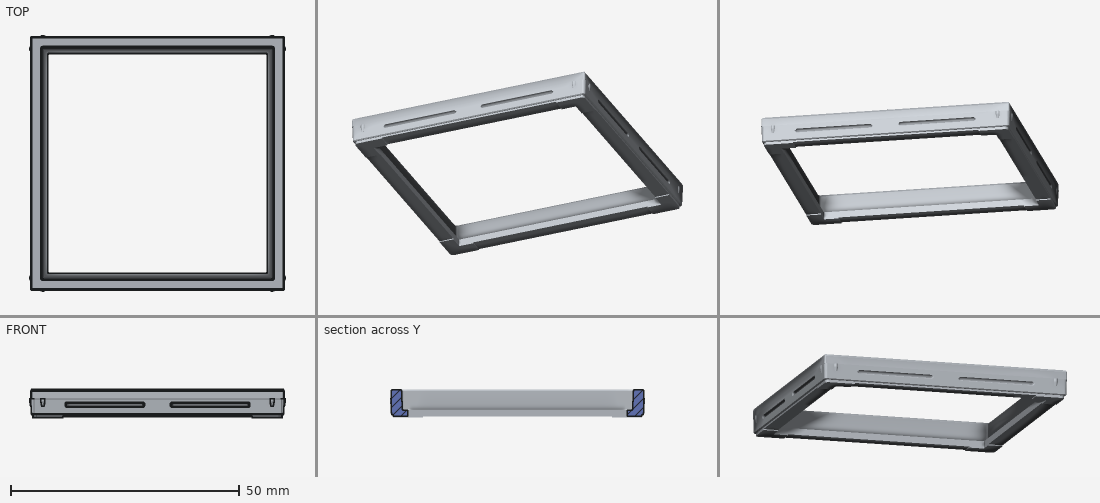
import cadquery as cq
import math

total_height = 6.2
seam_height = 4.15
body_bottom = 0.58
rim_bottom = 0.22
shelf_height = 1.65

seam_half = 27.76
rim_half = 27.3
mouth_half = 25.62
window_half = 24.02

draft = 2.0
cap_bevel_width = 0.2
cap_bevel_height = 0.4
cap_corner_radius = 0.35
body_corner_radius = 0.68
body_bottom_chamfer = 0.22
rim_corner_radius = 0.8
mouth_chamfer_width = 0.3
mouth_chamfer_height = 0.4
pocket_corner_radius = 0.38
window_corner_radius = 0.2
shelf_fillet = 0.2

foot_length = 6.6

groove_inner_end = 2.8
groove_outer_end = 20.25
groove_height = 1.15
groove_z = 2.8
groove_lead_in = 0.2

nub_offset = 25.1
nub_tip_half = 27.95
nub_radius = 0.58
nub_tip_radius = 0.4
nub_straight_height = 0.7
nub_taper_height = 0.95


def square_prism(half, start, end, corner_radius, taper=0):
    """Square prism whose section at height start is given; it tapers towards height end."""
    outline = cq.Sketch().rect(2 * half, 2 * half).vertices().fillet(corner_radius)
    return cq.Workplane("XY").workplane(offset=start).placeSketch(outline).extrude(end - start, taper=taper)


def make_cap():
    """Upper wall, narrowing upwards from the seam, with a bevelled top edge."""
    bevel_bottom = total_height - cap_bevel_height
    inset = (bevel_bottom - seam_height) * math.tan(math.radians(draft))
    bevel_angle = math.degrees(math.atan2(cap_bevel_width, cap_bevel_height))
    wall = square_prism(seam_half, seam_height, bevel_bottom, cap_corner_radius, draft)
    bevel = square_prism(
        seam_half - inset, bevel_bottom, total_height, cap_corner_radius - inset, bevel_angle
    )
    return wall.union(bevel)


def make_body():
    """Lower wall, narrowing downwards from the seam, with a chamfered bottom edge."""
    body = square_prism(seam_half, seam_height, body_bottom, body_corner_radius, draft)
    return body.faces("<Z").chamfer(body_bottom_chamfer)


def make_rim():
    """Base rim, cut back between the corners so that four feet remain."""
    rim = square_prism(rim_half, 0, body_bottom, rim_corner_radius)
    gap_length = 2 * (rim_half - foot_length)
    full_length = 2 * seam_half
    for length_x, length_y in ((gap_length, full_length), (full_length, gap_length)):
        rim = rim.cut(cq.Workplane("XY").rect(length_x, length_y).extrude(rim_bottom))
    return rim


def make_opening():
    """Through window below a wider drafted pocket with a chamfered mouth."""
    window = square_prism(window_half, 0, total_height, window_corner_radius)
    pocket_half = mouth_half - mouth_chamfer_width
    chamfer_bottom = total_height - mouth_chamfer_height
    chamfer_angle = math.degrees(math.atan2(mouth_chamfer_width, mouth_chamfer_height))
    pocket = square_prism(pocket_half, chamfer_bottom, shelf_height, pocket_corner_radius, draft)
    pocket = pocket.faces("<Z").edges().fillet(shelf_fillet)
    mouth_radius = pocket_corner_radius + mouth_chamfer_width
    mouth = square_prism(mouth_half, total_height, chamfer_bottom, mouth_radius, chamfer_angle)
    return window.union(pocket).union(mouth)


def make_groove(center_x):
    """Cutter for a round-bottomed groove with rounded ends and a 45 degree lead-in."""
    face_y = (seam_height - groove_z) * math.tan(math.radians(draft)) - seam_half
    length = groove_outer_end - groove_inner_end
    lead_in = (
        cq.Workplane("XZ", origin=(center_x, face_y, groove_z))
        .slot2D(length, groove_height)
        .extrude(-groove_lead_in, taper=45)
    )
    radius = groove_height / 2 - groove_lead_in
    floor_y = face_y + groove_lead_in
    straight_half = (length - groove_height) / 2
    channel = (
        cq.Workplane("YZ", origin=(center_x - straight_half, floor_y, groove_z))
        .circle(radius)
        .extrude(2 * straight_half)
    )
    cutter = lead_in.union(channel)
    for end_x in (center_x - straight_half, center_x + straight_half):
        cutter = cutter.union(cq.Workplane("XY", origin=(end_x, floor_y, groove_z)).sphere(radius))
    return cutter


def make_nub(center_x):
    """Upright round peg, half sunk in the wall, tapering at its lower end."""
    straight_bottom = seam_height - nub_straight_height
    tip_z = straight_bottom - nub_taper_height
    return (
        cq.Workplane("XZ", origin=(center_x, nub_radius - nub_tip_half, 0))
        .moveTo(0, seam_height)
        .lineTo(nub_radius, seam_height)
        .lineTo(nub_radius, straight_bottom)
        .lineTo(nub_tip_radius, tip_z)
        .lineTo(0, tip_z)
        .close()
        .revolve(360, (0, 0, 0), (0, 1, 0))
    )


def on_every_side(make_feature, offset):
    """Copies of a front-side feature at plus and minus offset on all four sides."""
    copies = []
    for angle in (0, 90, 180, 270):
        for center_x in (-offset, offset):
            copies.append(make_feature(center_x).rotate((0, 0, 0), (0, 0, 1), angle))
    return copies


frame = make_cap().union(make_body()).union(make_rim()).cut(make_opening())
groove_offset = (groove_inner_end + groove_outer_end) / 2
for groove in on_every_side(make_groove, groove_offset):
    frame = frame.cut(groove)
for nub in on_every_side(make_nub, nub_offset):
    frame = frame.union(nub)

result = frame.solids()